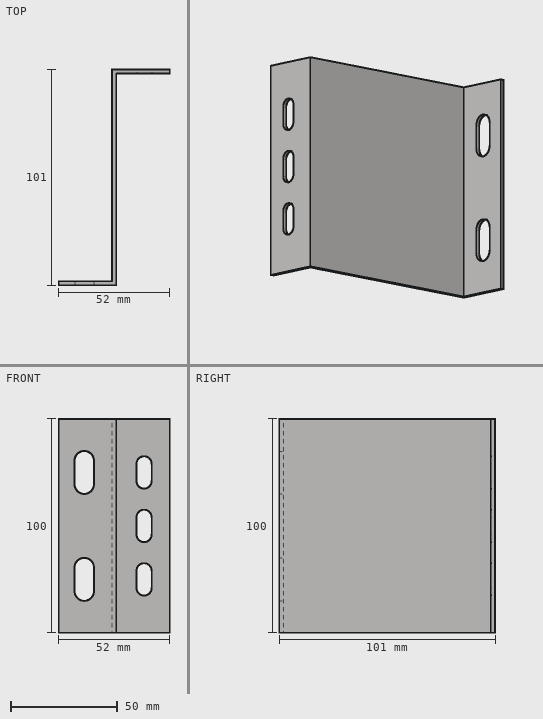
import cadquery as cq

width = 52.0
depth = 101.0
height = 100.0
sheet = 2.0

flange_width = (width + sheet) / 2

large_slot_length = 20.0
large_slot_width = 9.0
small_slot_length = 15.0
small_slot_width = 7.0
slot_edge_distance = 12.0
large_slot_pitch = height / 2
small_slot_pitch = height / 4


def make_plate(x_size, y_size, x_center, y_center):
    """Full-height rectangular plate."""
    return cq.Workplane("XY").box(x_size, y_size, height).translate((x_center, y_center, 0))


def make_slots(x_center, y_center, length, slot_width, count, pitch):
    """Cutters for a vertical row of slots through a flange, centred on mid-height."""
    return (
        cq.Workplane("XZ", origin=(x_center, y_center, 0))
        .rarray(1, pitch, 1, count)
        .slot2D(length, slot_width, angle=90)
        .extrude(sheet, both=True)
    )


flange_x = (width - flange_width) / 2
flange_y = (depth - sheet) / 2
slot_x = width / 2 - slot_edge_distance

web = make_plate(sheet, depth, 0, 0)
front_flange = make_plate(flange_width, sheet, -flange_x, -flange_y)
back_flange = make_plate(flange_width, sheet, flange_x, flange_y)
bracket = web.union(front_flange).union(back_flange)

front_slots = make_slots(-slot_x, -flange_y, large_slot_length, large_slot_width, 2, large_slot_pitch)
back_slots = make_slots(slot_x, flange_y, small_slot_length, small_slot_width, 3, small_slot_pitch)

result = bracket.cut(front_slots).cut(back_slots)